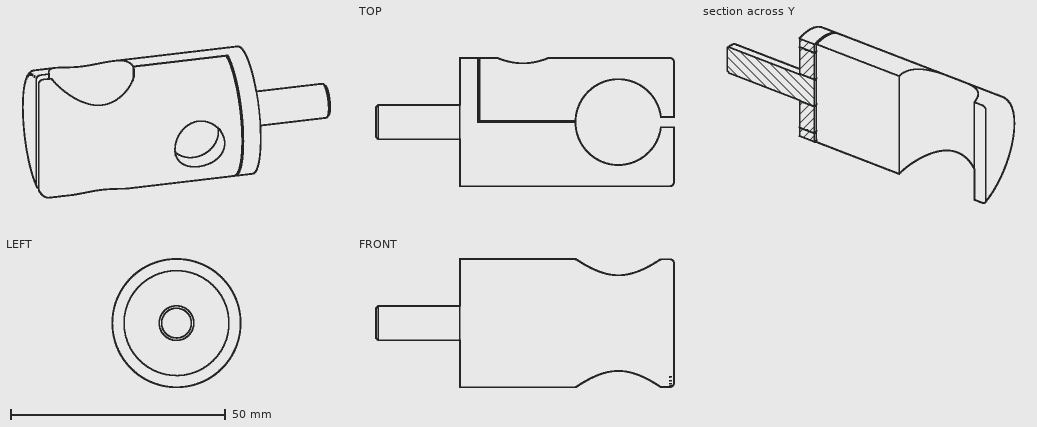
import cadquery as cq

overall_length = 69.65
body_diameter = 30.0
body_radius = body_diameter / 2
body_length = 50.0
stud_reach = overall_length - body_length

stud_tip_x = -overall_length / 2
body_start_x = stud_tip_x + stud_reach
body_end_x = overall_length / 2

flange_thickness = 4.2
flange_gap = 0.35
disc_diameter = 24.5
disc_thickness = flange_thickness

stud_diameter = 8.1
stud_chamfer = 0.55

bore_diameter = 20.0
bore_end_distance = 13.0
bore_x = body_end_x - bore_end_distance

hinge_gap = 0.2
mouth_gap = 2.3
end_fillet = 1.05

recess_diameter = 12.0
recess_depth = 6.0
recess_start_distance = 14.7
recess_x = body_start_x + recess_start_distance


def cylinder_along_x(start_x, length, diameter):
    """Solid cylinder on the X axis, growing toward +X."""
    return cq.Workplane("YZ", origin=(start_x, 0, 0)).circle(diameter / 2).extrude(length)


def box_between(start_x, end_x, low_y, high_y):
    """Block with the given X and Y limits, tall enough to span the body in Z."""
    return cq.Workplane("XY").box(
        end_x - start_x, high_y - low_y, body_diameter, centered=(False, False, True)
    ).translate((start_x, low_y, 0))


def make_clamp_blank():
    """Round blank with a rounded far end and the clamp bore."""
    blank = cylinder_along_x(body_start_x, body_length, body_diameter)
    blank = blank.faces(">X").edges().fillet(end_fillet)
    bore = (
        cq.Workplane("XY", origin=(bore_x, 0, -body_radius))
        .circle(bore_diameter / 2)
        .extrude(body_diameter)
    )
    return blank.cut(bore)


def make_housing():
    """Fixed clamp half with a full round flange, recessed for the disc."""
    flange_end_x = body_start_x + flange_thickness
    jaw_space = box_between(flange_end_x, body_end_x, 0, body_radius)
    mouth_space = box_between(bore_x, body_end_x, -mouth_gap / 2, 0)
    disc_recess = cylinder_along_x(body_start_x, disc_thickness, disc_diameter)
    return make_clamp_blank().cut(jaw_space).cut(mouth_space).cut(disc_recess)


def make_jaw():
    """Loose clamp half, with a round recess for a screw head."""
    jaw_start_x = body_start_x + flange_thickness + flange_gap
    hinge_side = box_between(jaw_start_x, bore_x, hinge_gap, body_radius)
    mouth_side = box_between(bore_x, body_end_x, mouth_gap / 2, body_radius)
    jaw = make_clamp_blank().intersect(hinge_side.union(mouth_side))
    recess = (
        cq.Workplane("XZ", origin=(recess_x, body_radius, 0))
        .circle(recess_diameter / 2)
        .extrude(recess_depth)
    )
    return jaw.cut(recess)


def make_disc():
    """Plain disc filling the recess in the flange, with a hole for the stud."""
    disc = cylinder_along_x(body_start_x, disc_thickness, disc_diameter)
    stud_hole = cylinder_along_x(body_start_x, disc_thickness, stud_diameter)
    return disc.cut(stud_hole)


def make_stud():
    """Round stud with a chamfered tip, seated through the disc."""
    stud = cylinder_along_x(stud_tip_x, stud_reach + disc_thickness, stud_diameter)
    return stud.faces("<X").edges().chamfer(stud_chamfer)


housing = make_housing()
jaw = make_jaw()
disc = make_disc()
stud = make_stud()

result = cq.Compound.makeCompound([housing.val(), jaw.val(), disc.val(), stud.val()])